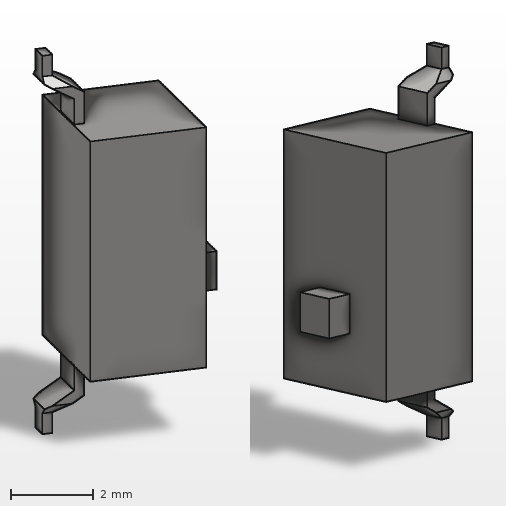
import cadquery as cq

total_height = 9.8
body_width = 3.48
body_depth = 2.99
body_height = 6.22

peg_size = 0.99
peg_length = 0.71
peg_center_z = -1.12

lead_thickness = 0.25
lead_width = 0.99
tip_width = 0.51
lead_inset = 0.03
lead_reach = 0.71
tip_length = 0.54
taper_length = 0.25
crank_start = 0.97
bend_drop = 0.16


def make_body():
    return cq.Workplane("XY").box(body_width, body_depth, body_height).translate((0, body_depth / 2, 0))


def make_peg():
    return (
        cq.Workplane("XY")
        .box(peg_size, peg_length, peg_size)
        .translate((0, body_depth + peg_length / 2, peg_center_z))
    )


def make_top_lead():
    end_z = total_height / 2
    base_z = body_height / 2
    tip_front = -lead_reach
    tip_rear = tip_front + lead_thickness
    root_front = lead_inset
    root_rear = root_front + lead_thickness

    strip = (
        cq.Workplane("YZ")
        .polyline([
            (root_front, base_z),
            (root_rear, base_z),
            (root_rear, end_z - crank_start),
            (tip_rear, end_z - tip_length),
            (tip_rear, end_z),
            (tip_front, end_z),
            (tip_front, end_z - tip_length - bend_drop),
            (root_front, end_z - crank_start - bend_drop),
        ])
        .close()
        .extrude(lead_width / 2, both=True)
    )

    shoulder_z = end_z - tip_length - taper_length
    neck_z = end_z - tip_length
    outline = (
        cq.Workplane("XZ")
        .polyline([
            (-lead_width / 2, base_z),
            (lead_width / 2, base_z),
            (lead_width / 2, shoulder_z),
            (tip_width / 2, neck_z),
            (tip_width / 2, end_z),
            (-tip_width / 2, end_z),
            (-tip_width / 2, neck_z),
            (-lead_width / 2, shoulder_z),
        ])
        .close()
        .extrude(body_depth, both=True)
    )
    return strip.intersect(outline)


top_lead = make_top_lead()
bottom_lead = top_lead.mirror("XY")
result = make_body().union(make_peg()).union(top_lead).union(bottom_lead)